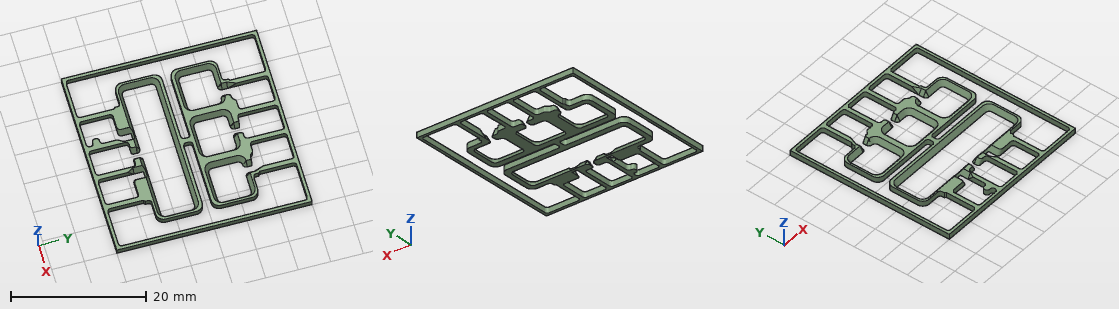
import cadquery as cq
import math

side = 30.0
thickness = 1.0
frame_wall = 0.5
frame_inner = side / 2 - frame_wall

draft = 30.0
bevel_run = thickness * math.tan(math.radians(draft))

rib_width = 0.75
outer_rib_x = 7.62
inner_rib_x = 2.5
outer_rib_left = -outer_rib_x - rib_width / 2
outer_rib_right = -outer_rib_x + rib_width / 2
inner_rib_left = -inner_rib_x - rib_width / 2
inner_rib_right = -inner_rib_x + rib_width / 2

ring_half_length = 11.95
ring_near = 0.7
ring_far = 7.83
ring_corner = 1.2
end_wall = 0.93
near_wall = 1.08
far_wall = 0.9
opening_end = ring_half_length - end_wall
opening_near = ring_near + near_wall
opening_far = ring_far - far_wall
opening_corner = 0.65

post_outer = 5.1
post_inner = 2.97

middle_gap = 0.78
gap_half = middle_gap / 2

head_y = 8.35
shoulder_y = 8.88
step_x = -4.75
upper_gap = 0.95
head_end = outer_rib_right + upper_gap

pad_y = 9.35
foot_y = 8.37
lower_gap = 0.95
lower_gap_end = 7.47
pad_end = inner_rib_left - lower_gap

tab_width = 0.25
tab_y = 8.95

bump_length = 1.08
bump_top = -12.42
bump_bottom = -13.47

upper_runout_y = head_y
upper_runout = 1.38
lower_runout_y = -8.9
lower_runout = 0.95

corner = 0.48
end_corner = 0.33
gap_corner = 0.6

ring_middle = (opening_near + opening_far) / 2
overrun = 1.2

tolerance = 0.0003


def prism(points):
    """Full-thickness upright prism on a closed outline."""
    return cq.Workplane("XY").polyline(points).close().extrude(thickness)


def block(x0, x1, y0, y1):
    """Full-thickness block between two X and two Y positions."""
    return prism([(x0, y0), (x1, y0), (x1, y1), (x0, y1)])


def both_sides(shape):
    """The shape together with its mirror image across the YZ plane."""
    return shape.union(shape.mirror("YZ"))


def tab(direction):
    """Slant-ended tab beside an outer rib, on the +Y (1) or -Y (-1) side."""
    outer = outer_rib_left - tab_width
    return prism([
        (outer_rib_left, direction * ring_near),
        (outer_rib_left, direction * tab_y),
        (outer, direction * (tab_y - tab_width)),
        (outer, direction * ring_near),
    ])


def head():
    """Head of an upper inner rib."""
    step_half = (shoulder_y - head_y) / 2
    return prism([
        (head_end, opening_far),
        (head_end, head_y),
        (step_x - step_half, head_y),
        (step_x + step_half, shoulder_y),
        (-inner_rib_x, shoulder_y),
        (-inner_rib_x, head_y),
        (-gap_half, head_y),
        (-gap_half, opening_far),
    ])


def solid_layout():
    """Frame, ribs and rings with square corners and no openings in the rings."""
    frame = block(-side / 2, side / 2, -side / 2, side / 2).cut(
        block(-frame_inner, frame_inner, -frame_inner, frame_inner)
    )
    half = block(-ring_half_length, 0, ring_near, ring_far)
    half = half.union(block(-ring_half_length, 0, -ring_far, -ring_near))
    half = half.union(block(-gap_half, 0, -ring_near, ring_near))
    for left, right in ((outer_rib_left, outer_rib_right), (inner_rib_left, inner_rib_right)):
        half = half.union(block(left, right, ring_near, frame_inner))
        half = half.union(block(left, right, -frame_inner, -ring_near))
    half = half.union(head()).union(tab(1)).union(tab(-1))
    half = half.union(block(outer_rib_left, pad_end, -pad_y, -ring_near))
    half = half.union(block(inner_rib_left, -gap_half, -foot_y, -ring_near))
    bump = block(inner_rib_left - bump_length, inner_rib_left, bump_bottom, bump_top)
    return frame.union(both_sides(half)).union(bump).clean()


def same(value, *places):
    """Whether a coordinate coincides with any of the given places."""
    return any(abs(value - place) < tolerance for place in places)


def is_ring_corner(edge):
    return same(abs(edge.Center().x), ring_half_length)


def is_plain_corner(edge):
    """Upright corner with the common radius, away from the bevelled gaps."""
    x = -abs(edge.Center().x)
    y = edge.Center().y
    on_frame_outside = same(x, -side / 2)
    on_tab_end = same(abs(y), tab_y, tab_y - tab_width)
    on_gap = same(x, head_end, pad_end) or (same(x, -gap_half) and abs(y) > ring_near + corner)
    in_lower_gap = same(x, inner_rib_left) and same(y, -ring_far)
    return not (is_ring_corner(edge) or on_frame_outside or on_tab_end or on_gap or in_lower_gap)


def widened(x0, x1, y0, y1, radius):
    """Top outline of a cavity: the floor rectangle grown by the bevel run, corners rounded."""
    outline = cq.Sketch().rect(x1 - x0 + 2 * bevel_run, y1 - y0 + 2 * bevel_run)
    outline = outline.vertices().fillet(radius).reset()
    return outline.moved(cq.Location(cq.Vector((x0 + x1) / 2, (y0 + y1) / 2, 0)))


def opening(x0, x1, y0, y1):
    return widened(x0, x1, y0, y1, opening_corner + bevel_run)


def gap(x0, x1, y0, y1):
    return widened(x0, x1, y0, y1, gap_corner)


def cavity(*outlines):
    """Bevelled cavity that narrows downward from the joined top outlines."""
    joined = outlines[0]
    for outline in outlines[1:]:
        joined = joined.face(outline)
    top = cq.Workplane("XY", origin=(0, 0, thickness))
    return top.placeSketch(joined.clean()).extrude(-thickness, taper=draft)


def runout_facet(rib_face, into_rib, y, length):
    """Four-sided wedge that lets a bevel fade out along the side of a rib."""
    foot = cq.Vector(rib_face, y, 0)
    top_outer = cq.Vector(rib_face, y, thickness)
    top_inner = cq.Vector(rib_face + into_rib * bevel_run, y, thickness)
    tip = cq.Vector(rib_face, y + length, thickness)
    corners = (foot, top_outer, top_inner, tip)
    faces = []
    for left_out in corners:
        triangle = [point for point in corners if point is not left_out]
        faces.append(cq.Face.makeFromWires(cq.Wire.makePolygon(triangle, close=True)))
    return cq.Workplane(cq.Solid.makeSolid(cq.Shell.makeShell(faces)))


def upper_side_cavity():
    """Left opening of the upper ring with the gap between rib and head."""
    cutter = cavity(
        opening(-opening_end, -post_outer, opening_near, opening_far),
        gap(outer_rib_right, head_end, ring_middle, head_y + overrun),
    )
    rib_side = block(-opening_end, outer_rib_right, upper_runout_y, head_y + 2 * overrun)
    facet = runout_facet(outer_rib_right, -1, upper_runout_y, upper_runout)
    return cutter.cut(rib_side).union(facet)


def lower_side_gap():
    """Gap between a pad and the foot beside it."""
    cutter = cavity(gap(pad_end, inner_rib_left, -pad_y - overrun, -lower_gap_end))
    rib_side = block(inner_rib_left, 0, -pad_y - 2 * overrun, lower_runout_y)
    facet = runout_facet(inner_rib_left, 1, lower_runout_y, -lower_runout)
    return cutter.cut(rib_side).union(facet)


def upper_middle_cavity():
    return cavity(
        opening(-post_inner, post_inner, opening_near, opening_far),
        gap(-gap_half, gap_half, ring_middle, head_y + overrun),
    )


def lower_cavity():
    return cavity(
        opening(-opening_end, opening_end, -opening_far, -opening_near),
        gap(-gap_half, gap_half, -foot_y - overrun, -ring_middle),
    )


def leans_at(edge, y):
    """Slanted full-height edge left where a gap bevel meets an upright wall at the given Y."""
    centre = edge.Center()
    leans = abs(edge.endPoint().x - edge.startPoint().x) > bevel_run / 2
    return leans and same(centre.z, thickness / 2) and same(centre.y, y)


def is_head_or_foot_end(edge):
    inside_outer_rib = abs(edge.Center().x) < abs(head_end)
    return inside_outer_rib and (leans_at(edge, head_y) or leans_at(edge, -foot_y))


def is_pad_end(edge):
    return leans_at(edge, -pad_y)


def rounded(body, is_wanted, radius, among=None):
    """Round the wanted edges, looked for among the edges a selector string picks."""
    return body.newObject(body.edges(among).filter(is_wanted).vals()).fillet(radius)


result = rounded(solid_layout(), is_plain_corner, corner, "|Z")
result = rounded(result, is_ring_corner, ring_corner, "|Z")
result = result.cut(both_sides(upper_side_cavity())).cut(upper_middle_cavity())
result = result.cut(lower_cavity()).cut(both_sides(lower_side_gap()))
result = rounded(result, is_head_or_foot_end, end_corner)
result = rounded(result, is_pad_end, corner)